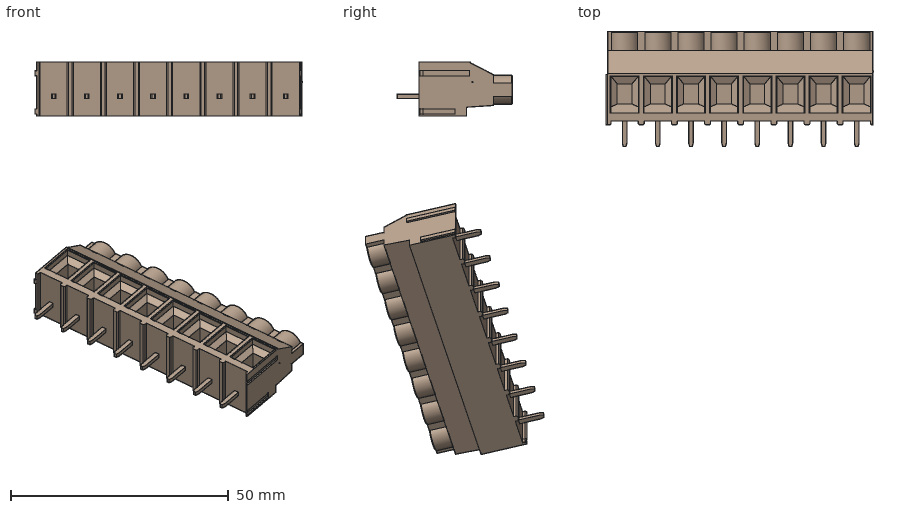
import cadquery as cq


POLES = 8
PITCH = 7.62
LENGTH = POLES * PITCH
POLE_OFFSET = 0.09
POLE_XS = [(i - (POLES - 1) / 2) * PITCH + POLE_OFFSET for i in range(POLES)]
LEFT = -LENGTH / 2
RIGHT = LENGTH / 2

HEIGHT = 12.5
SHOULDER_Y = 17.1
LIP_Y = 11.85
LIP_HEIGHT = 0.2
SHOULDER_TOP_Z = 9.6
SHOULDER_BOTTOM_Z = 2.45
STEP_Y = 11.0
STEP_Z = 2.05

BACK_Y = 21.5
BOSS_DIAMETER = 6.7
BOSS_Z = 6.1
BOSS_CHAMFER = 0.2
STRIP_BOTTOM_Z = 4.5
STRIP_TOP_Z = 7.6

FOOT_WIDTH = 1.4
FOOT_HEIGHT = 0.9
FOOT_CHAMFER = 0.3

POCKET_WIDTH = 6.67
POCKET_Y = (2.78, 11.29)
POCKET_EDGE_CHAMFER = 0.2
POCKET_BACK_CHAMFER = 0.12
THROAT_WIDTH = 3.4
THROAT_Y = (4.81, 9.43)
TAPER_START_DEPTH = 1.7
TAPER_END_DEPTH = 2.5
THROAT_DEPTH = 8.0

PIN_WIDTH = 1.1
PIN_THICKNESS = 1.0
PIN_Z = 4.57
PIN_LENGTH = 5.0
PIN_ROOT = 1.0
PIN_TIP_LENGTH = 0.8
PIN_TIP_WIDTH = 0.6

RIB_DEPTH = 0.4
RIB_BOUNDS = [
    (9.3, 10.47, 11.6),
    (0.47, 1.67, 8.25),
]

NUB_HEIGHT = 0.15
NUB_DIAMETER = 0.2
NUB_Y = 12.3
NUB_Z = 7.85


def box(x_range, y_range, z_range):
    """Box given by its lower and upper limits along each axis."""
    ranges = (x_range, y_range, z_range)
    size = [upper - lower for lower, upper in ranges]
    corner = [lower for lower, upper in ranges]
    return cq.Workplane("XY").box(*size, centered=False).translate(tuple(corner))


def make_housing():
    profile = [
        (0, 0),
        (STEP_Y, 0),
        (STEP_Y, STEP_Z),
        (SHOULDER_Y, SHOULDER_BOTTOM_Z),
        (SHOULDER_Y, SHOULDER_TOP_Z),
        (LIP_Y, HEIGHT - LIP_HEIGHT),
        (LIP_Y, HEIGHT),
        (0, HEIGHT),
    ]
    return cq.Workplane("YZ", origin=(LEFT, 0, 0)).polyline(profile).close().extrude(LENGTH)


def make_boss(x):
    boss = (
        cq.Workplane("XZ", origin=(x, BACK_Y, BOSS_Z))
        .circle(BOSS_DIAMETER / 2)
        .extrude(BACK_Y - STEP_Y)
    )
    return boss.faces(">Y").chamfer(BOSS_CHAMFER)


def make_seat_recess(left, right):
    """Recess between two feet; it widens at the seating plane to chamfer the feet."""
    profile = [
        (left - FOOT_CHAMFER, 0),
        (left, FOOT_CHAMFER),
        (left, FOOT_HEIGHT),
        (right, FOOT_HEIGHT),
        (right, FOOT_CHAMFER),
        (right + FOOT_CHAMFER, 0),
    ]
    return cq.Workplane("XY").polyline(profile).close().extrude(HEIGHT)


def make_pocket(x):
    """Funnel-shaped wire entry: the overlap of a profile along Y and a profile along X."""
    front_y, back_y = POCKET_Y
    throat_front_y, throat_back_y = THROAT_Y
    taper_start_z = HEIGHT - TAPER_START_DEPTH
    taper_end_z = HEIGHT - TAPER_END_DEPTH
    bottom_z = HEIGHT - THROAT_DEPTH
    rim = POCKET_WIDTH / 2
    wall = rim - POCKET_EDGE_CHAMFER
    throat = THROAT_WIDTH / 2

    right_side = [
        (throat, bottom_z),
        (throat, taper_end_z),
        (wall, taper_start_z),
        (wall, HEIGHT - POCKET_EDGE_CHAMFER),
        (rim, HEIGHT),
    ]
    left_side = [(-offset, z) for offset, z in reversed(right_side)]
    across = (
        cq.Workplane("XZ", origin=(x, back_y, 0))
        .polyline(right_side + left_side)
        .close()
        .extrude(back_y - front_y)
    )
    back_wall_y = back_y - POCKET_BACK_CHAMFER
    side_profile = [
        (front_y, HEIGHT),
        (throat_front_y, taper_end_z),
        (throat_front_y, bottom_z),
        (throat_back_y, bottom_z),
        (throat_back_y, taper_end_z),
        (back_wall_y, taper_start_z),
        (back_wall_y, HEIGHT - POCKET_BACK_CHAMFER),
        (back_y, HEIGHT),
    ]
    along = (
        cq.Workplane("YZ", origin=(x - rim, 0, 0))
        .polyline(side_profile)
        .close()
        .extrude(POCKET_WIDTH)
    )
    return across.intersect(along)


def make_pin(x):
    shoulder_y = PIN_TIP_LENGTH - PIN_LENGTH
    profile = [
        (x - PIN_WIDTH / 2, FOOT_HEIGHT + PIN_ROOT),
        (x - PIN_WIDTH / 2, shoulder_y),
        (x - PIN_TIP_WIDTH / 2, -PIN_LENGTH),
        (x + PIN_TIP_WIDTH / 2, -PIN_LENGTH),
        (x + PIN_WIDTH / 2, shoulder_y),
        (x + PIN_WIDTH / 2, FOOT_HEIGHT + PIN_ROOT),
    ]
    bottom_z = PIN_Z - PIN_THICKNESS / 2
    return cq.Workplane("XY", origin=(0, 0, bottom_z)).polyline(profile).close().extrude(PIN_THICKNESS)


def make_nub():
    return (
        cq.Workplane("YZ", origin=(RIGHT, NUB_Y, NUB_Z))
        .circle(NUB_DIAMETER / 2)
        .extrude(NUB_HEIGHT)
    )


strip = box((LEFT, RIGHT), (SHOULDER_Y, BACK_Y), (STRIP_BOTTOM_Z, STRIP_TOP_Z))
result = make_housing().union(strip)

for pole_x in POLE_XS:
    result = result.union(make_boss(pole_x))

recess_half_width = (PITCH - FOOT_WIDTH) / 2
for pole_x in POLE_XS:
    result = result.cut(make_seat_recess(pole_x - recess_half_width, pole_x + recess_half_width))
    result = result.cut(make_pocket(pole_x))
    result = result.union(make_pin(pole_x))

for lower_z, upper_z, end_y in RIB_BOUNDS:
    rib = box((LEFT - RIB_DEPTH, LEFT), (0, end_y), (lower_z, upper_z))
    groove = box((RIGHT - RIB_DEPTH, RIGHT), (0, end_y), (lower_z, upper_z))
    result = result.union(rib).cut(groove)

result = result.union(make_nub())